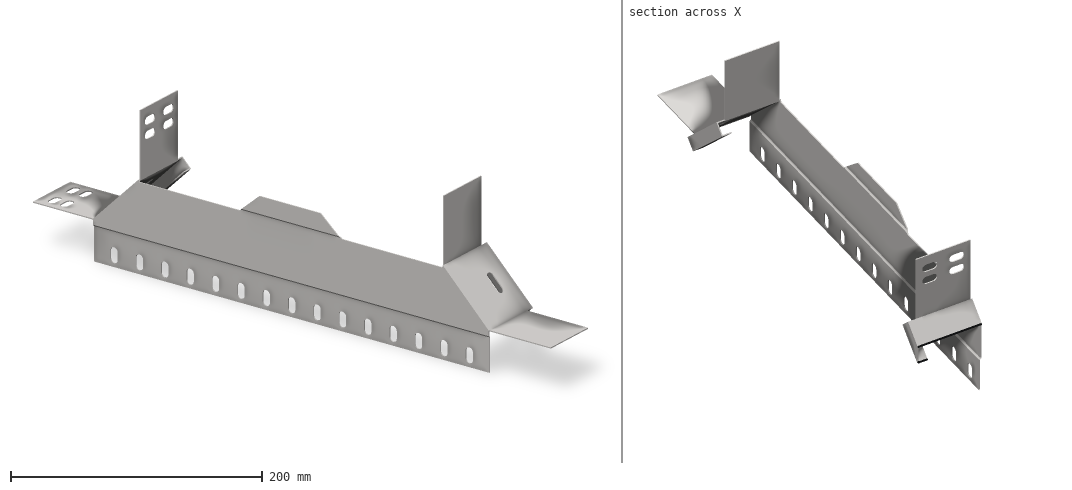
import cadquery as cq
import math

length = 510.0
depth = 60.5
height = 142.0
sheet = 1.0

step = 1.3
step_height = 1.5

web_half_bottom = 195.5
web_half_top = 150.0
web_top = 80.0
shoulder = 36.5
shoulder_top = shoulder + web_half_bottom - web_half_top
wall_back = depth - step

strip_half = 195.0
strip_top = 32.0
strip_slot_count = 15
strip_slot_pitch = 25.0
strip_slot_height = 10.0

tab_half_bottom = 50.5
tab_half_top = 30.0
tab_top = 98.0
tab_step_bottom = 81.0

plate_front = 1.5
plate_depth = 50.5
plate_slot_inset = 12.0
plate_row_pitch = 12.0
plate_slot_pitch = 25.0

slot_width = 7.0
slot_length = 14.0
wall_slot_length = 19.5
wall_slot_from_back = 20.0

lip_height = 12.0
lip_return = 9.0

slope_angle = 45
slope_length = math.hypot(web_half_bottom - web_half_top, shoulder_top - shoulder)


def box(x_range, y_range, z_range):
    """Block between the given limits on each axis."""
    sizes = [high - low for low, high in (x_range, y_range, z_range)]
    corner = (x_range[0], y_range[0], z_range[0])
    return cq.Workplane("XY").box(*sizes, centered=False).translate(corner)


def upright_sheet(points, front, thickness):
    """Plate parallel to XZ with its front face at Y = front."""
    return cq.Workplane("XZ", origin=(0, front, 0)).polyline(points).close().extrude(-thickness)


def stepped_sheet(half_width, front_line):
    """Sheet spanning both sides of centre, its front face following (Y, Z) points upward."""
    back_line = [(y + sheet, z) for y, z in reversed(front_line)]
    profile = cq.Workplane("YZ").polyline(front_line + back_line).close()
    return profile.extrude(half_width, both=True)


def slot_cutter(plane, center, size, angle):
    """Round-ended slot cutter centred on a point, reaching well past one sheet both ways."""
    return cq.Workplane(plane, origin=center).slot2D(size, slot_width, angle).extrude(2 * sheet, both=True)


def make_web():
    return upright_sheet(
        [
            (-strip_half, strip_top),
            (strip_half, strip_top),
            (strip_half, shoulder - sheet),
            (web_half_bottom, shoulder),
            (web_half_top, shoulder_top),
            (web_half_top - sheet, web_top),
            (sheet - web_half_top, web_top),
            (-web_half_top, shoulder_top),
            (-web_half_bottom, shoulder),
            (-strip_half, shoulder - sheet),
        ],
        0,
        sheet,
    )


def make_strip():
    front_line = [(step, 0), (step, strip_top - step_height), (0, strip_top)]
    strip = stepped_sheet(strip_half, front_line)
    first_slot = -(strip_slot_count - 1) / 2 * strip_slot_pitch
    for index in range(strip_slot_count):
        center = (first_slot + index * strip_slot_pitch, step + sheet / 2, strip_slot_height)
        strip = strip.cut(slot_cutter("XZ", center, slot_length, 90))
    return strip


def make_center_tab():
    step_top = tab_step_bottom + step_height
    front_line = [(0, web_top), (0, tab_step_bottom), (-step, step_top), (-step, tab_top)]
    outline = [
        (-tab_half_bottom, web_top),
        (tab_half_bottom, web_top),
        (tab_half_top, tab_top),
        (-tab_half_top, tab_top),
    ]
    tab_blank = upright_sheet(outline, -step, step + sheet)
    return stepped_sheet(tab_half_bottom, front_line).intersect(tab_blank)


def make_left_wall():
    """Sloping wall with its slot and back lip, modelled flat and then tilted into place."""
    wall = box((0, slope_length), (0, wall_back), (-sheet, 0))
    slot_center = (slope_length / 2, wall_back - wall_slot_from_back, -sheet / 2)
    wall = wall.cut(slot_cutter("XY", slot_center, wall_slot_length, 0))
    lip = box((0, slope_length), (wall_back - sheet, wall_back), (-lip_height, 0))
    lip_edge = box((0, slope_length), (wall_back - lip_return, wall_back), (-lip_height, sheet - lip_height))
    wall = wall.union(lip).union(lip_edge)
    return wall.rotate((0, 0, 0), (0, 1, 0), -slope_angle).translate((-web_half_bottom, 0, shoulder))


def make_left_plates():
    plate_range = (plate_front, plate_front + plate_depth)
    horizontal = box((-length / 2, sheet - web_half_bottom), plate_range, (shoulder - sheet, shoulder))
    vertical = box((-web_half_top, sheet - web_half_top), plate_range, (shoulder_top - sheet, height))
    return horizontal.union(vertical)


def make_left_plate_slots():
    cutters = cq.Workplane("XY")
    middle = plate_front + plate_depth / 2
    for row in range(2):
        inset = plate_slot_inset + row * plate_row_pitch
        for side in (-1, 1):
            y = middle + side * plate_slot_pitch / 2
            flat_center = (inset - length / 2, y, shoulder - sheet / 2)
            upright_center = (sheet / 2 - web_half_top, y, height - inset)
            cutters = cutters.add(slot_cutter("XY", flat_center, slot_length, 90))
            cutters = cutters.add(slot_cutter("YZ", upright_center, slot_length, 0))
    return cutters.combine()


left_end = make_left_wall().union(make_left_plates())
right_end = left_end.mirror("YZ")
slotted_end = left_end.cut(make_left_plate_slots())

result = make_web().union(make_strip()).union(make_center_tab()).union(slotted_end).union(right_end)